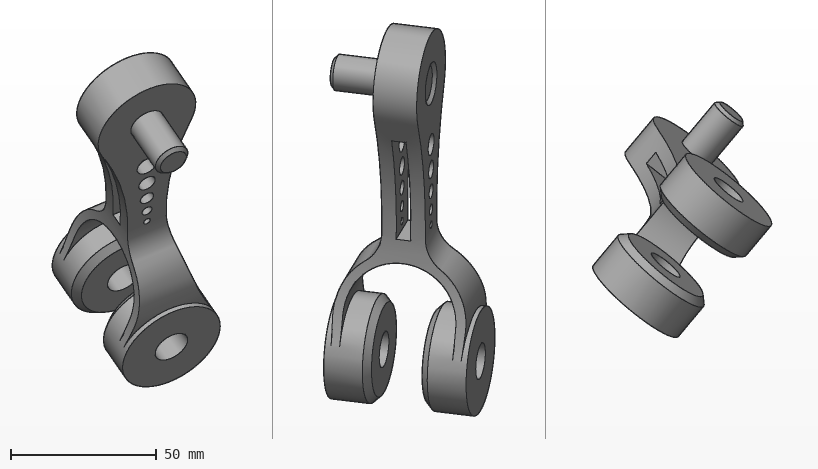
import cadquery as cq
import math

total_height = 142.2
end_diameter = 38.1
end_radius = end_diameter / 2
head_z = total_height - end_radius
wheel_z = end_radius
waist_z = total_height / 2
waist_half_width = 7.5

shank_half = 7.75
slot_width = 5.1
slot_bottom = 65.9
slot_top = 106.5

fork_inner_radius = 20.0
fork_outer_radius = 23.6
fork_z = 37.1
fork_fillet = 13.1
flank_angle = math.radians(3.1)

wheel_inner_x = 9.0
wheel_outer_x = 25.3
wheel_chamfer = 2.5
bore_diameter = 12.7

pin_diameter = bore_diameter
pin_end_x = 26.7
pin_chamfer = 1.3

hole_diameters = (7.7, 6.4, 5.1, 3.8, 2.5)
first_hole_z = 99.9
hole_gap = 2.5

end_offset = head_z - waist_z
waist_radius = (
    (end_offset**2 + waist_half_width**2 - end_radius**2) / (2 * (end_radius - waist_half_width))
)
waist_centre_y = waist_half_width + waist_radius
touch_ratio = end_radius / (end_radius + waist_radius)
touch_y = waist_centre_y * touch_ratio
touch_offset = end_offset * touch_ratio
upper_touch_z = head_z - touch_offset
lower_touch_z = wheel_z + touch_offset


def cylinder_x(diameter, start_x, end_x, z):
    """Cylinder along X, centred on Y = 0."""
    return (
        cq.Workplane("YZ", origin=(start_x, 0, z))
        .circle(diameter / 2)
        .extrude(end_x - start_x)
    )


def waisted_plate():
    """Side outline swept over the whole fork width."""
    return (
        cq.Workplane("YZ")
        .moveTo(touch_y, lower_touch_z)
        .threePointArc((waist_half_width, waist_z), (touch_y, upper_touch_z))
        .threePointArc((0, total_height), (-touch_y, upper_touch_z))
        .threePointArc((-waist_half_width, waist_z), (-touch_y, lower_touch_z))
        .threePointArc((0, 0), (touch_y, lower_touch_z))
        .close()
        .extrude(wheel_outer_x, both=True)
    )


def fork_outline():
    """Head, shank and fork arms as one outline in the XZ plane, swept along Y."""
    fillet_x = shank_half + fork_fillet
    centre_distance = fork_outer_radius + fork_fillet
    fillet_z = fork_z + math.sqrt(centre_distance**2 - fillet_x**2)
    joint_angle = math.acos(fillet_x / centre_distance)

    def outer_point(angle):
        return (
            fork_outer_radius * math.cos(angle),
            fork_z + fork_outer_radius * math.sin(angle),
        )

    fillet_mid_angle = joint_angle / 2
    fillet_mid = (
        fillet_x - fork_fillet * math.cos(fillet_mid_angle),
        fillet_z - fork_fillet * math.sin(fillet_mid_angle),
    )
    joint = outer_point(joint_angle)
    outer_mid = outer_point((joint_angle - flank_angle) / 2)
    flank = outer_point(-flank_angle)
    tip_x = flank[0] - (flank[1] - lower_touch_z) * math.tan(flank_angle)

    def mirrored(point):
        return (-point[0], point[1])

    return (
        cq.Workplane("XZ")
        .moveTo(-shank_half, total_height)
        .lineTo(shank_half, total_height)
        .lineTo(shank_half, fillet_z)
        .threePointArc(fillet_mid, joint)
        .threePointArc(outer_mid, flank)
        .lineTo(tip_x, lower_touch_z)
        .lineTo(fork_inner_radius, lower_touch_z)
        .lineTo(fork_inner_radius, fork_z)
        .threePointArc((0, fork_z + fork_inner_radius), (-fork_inner_radius, fork_z))
        .lineTo(-fork_inner_radius, lower_touch_z)
        .lineTo(-tip_x, lower_touch_z)
        .lineTo(*mirrored(flank))
        .threePointArc(mirrored(outer_mid), mirrored(joint))
        .threePointArc(mirrored(fillet_mid), (-shank_half, fillet_z))
        .close()
        .extrude(end_radius, both=True)
    )


def shank_slot():
    """Rectangular window through the shank along Y."""
    return cq.Workplane("XY").box(slot_width, end_diameter, slot_top - slot_bottom).translate(
        (0, 0, (slot_top + slot_bottom) / 2)
    )


def shank_holes():
    """Holes along X, with equal material between neighbours."""
    holes = cq.Workplane("YZ")
    edge_z = first_hole_z + hole_diameters[0] / 2
    for diameter in hole_diameters:
        holes = holes.add(cylinder_x(diameter, -shank_half, shank_half, edge_z - diameter / 2))
        edge_z -= diameter + hole_gap
    return holes.combine()


def head_countersink():
    """Conical recess around the flat rear end of the pin."""
    pin_radius = pin_diameter / 2
    return (
        cq.Workplane("YZ", origin=(-shank_half, 0, head_z))
        .circle(pin_radius + pin_chamfer)
        .workplane(offset=pin_chamfer)
        .circle(pin_radius)
        .loft()
    )


def head_pin():
    """Pin standing out of the +X face of the head."""
    return cylinder_x(pin_diameter, 0, pin_end_x, head_z).faces(">X").chamfer(pin_chamfer)


def wheel():
    """Wheel on the +X arm, chamfered on its inner face."""
    return (
        cylinder_x(end_diameter, wheel_inner_x, wheel_outer_x, wheel_z)
        .faces("<X")
        .chamfer(wheel_chamfer)
    )


right_wheel = wheel()
link = waisted_plate().intersect(fork_outline())
link = link.union(right_wheel).union(right_wheel.mirror("YZ"))
link = link.cut(cylinder_x(bore_diameter, -wheel_outer_x, wheel_outer_x, wheel_z))
link = link.cut(shank_slot()).cut(shank_holes())
link = link.cut(head_countersink())
result = link.union(head_pin())